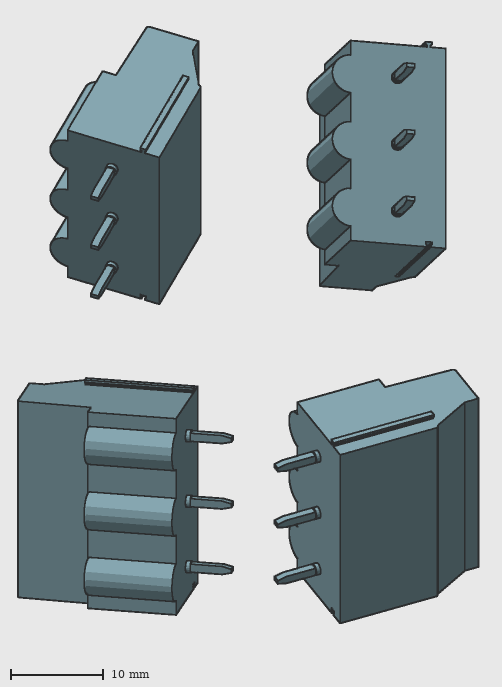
import cadquery as cq


pole_count = 3
pitch = 7.5
body_length = pole_count * pitch
pole_heights = [(pole + 0.5) * pitch for pole in range(pole_count)]

body_width = 10.75
body_height = 17.97
shoulder_y = 9.78
tower_foot_x = 1.57
tower_top_x = 1.82
tower_corner_radius = 0.32
tower_far_x = 7.82
slope_start_y = 16.33
slope_end = (10.38, 11.9)
lip_y = 11.63

barrel_radius = 2.12
barrel_reach = 2.05
barrel_end_radius = 0.28

rail_x = 8.84
rail_length = 12.0
rail_height = 0.58
rail_head_width = 0.7
rail_head_thickness = 0.25
rail_neck_width = 0.4
rail_neck_height = 0.14

pin_x = 5.25
pin_length = 5.03
collar_diameter = 1.3
collar_length = 0.5
blade_width = 0.88
blade_thickness = 0.92
taper_length = 1.02
tip_thickness = 0.44


def make_housing():
    """Stepped housing, extruded along the row of poles."""
    housing = (
        cq.Workplane("XY")
        .moveTo(0, 0)
        .lineTo(body_width, 0)
        .lineTo(body_width, lip_y)
        .lineTo(*slope_end)
        .lineTo(tower_far_x, slope_start_y)
        .lineTo(tower_far_x, body_height)
        .lineTo(tower_top_x, body_height)
        .lineTo(tower_foot_x, shoulder_y)
        .lineTo(0, shoulder_y)
        .close()
        .extrude(body_length)
    )
    corner = cq.selectors.NearestToPointSelector((tower_top_x, body_height, body_length / 2))
    return housing.edges(corner).fillet(tower_corner_radius)


def make_barrel(z):
    """Round bar along Y with a rounded far end, bulging out of the X = 0 face."""
    return (
        cq.Workplane("XZ")
        .center(barrel_radius - barrel_reach, z)
        .circle(barrel_radius)
        .extrude(-shoulder_y)
        .faces(">Y")
        .edges()
        .fillet(barrel_end_radius)
    )


def make_rail(base_z):
    """T-shaped bar along Y: a narrow neck that flares out to a flat head."""
    half_neck = rail_neck_width / 2
    half_head = rail_head_width / 2
    head_edge_z = rail_height - rail_head_thickness
    return (
        cq.Workplane("XZ")
        .center(rail_x, base_z)
        .polyline([
            (-half_neck, 0),
            (half_neck, 0),
            (half_neck, rail_neck_height),
            (half_head, head_edge_z),
            (half_head, rail_height),
            (-half_head, rail_height),
            (-half_head, head_edge_z),
            (-half_neck, rail_neck_height),
        ])
        .close()
        .extrude(-rail_length)
    )


def make_pin(z):
    """Round collar carrying a rectangular blade that thins toward its tip."""
    half_blade = blade_thickness / 2
    half_tip = tip_thickness / 2
    taper_y = taper_length - pin_length
    collar = cq.Workplane("XZ").center(pin_x, z).circle(collar_diameter / 2).extrude(collar_length)
    blade = (
        cq.Workplane("YZ", origin=(pin_x, 0, z))
        .polyline([
            (0, -half_blade),
            (0, half_blade),
            (taper_y, half_blade),
            (-pin_length, half_tip),
            (-pin_length, -half_tip),
            (taper_y, -half_blade),
        ])
        .close()
        .extrude(blade_width / 2, both=True)
    )
    return collar.union(blade)


result = make_housing().cut(make_rail(0)).union(make_rail(body_length))
for pole_z in pole_heights:
    result = result.union(make_barrel(pole_z)).union(make_pin(pole_z))